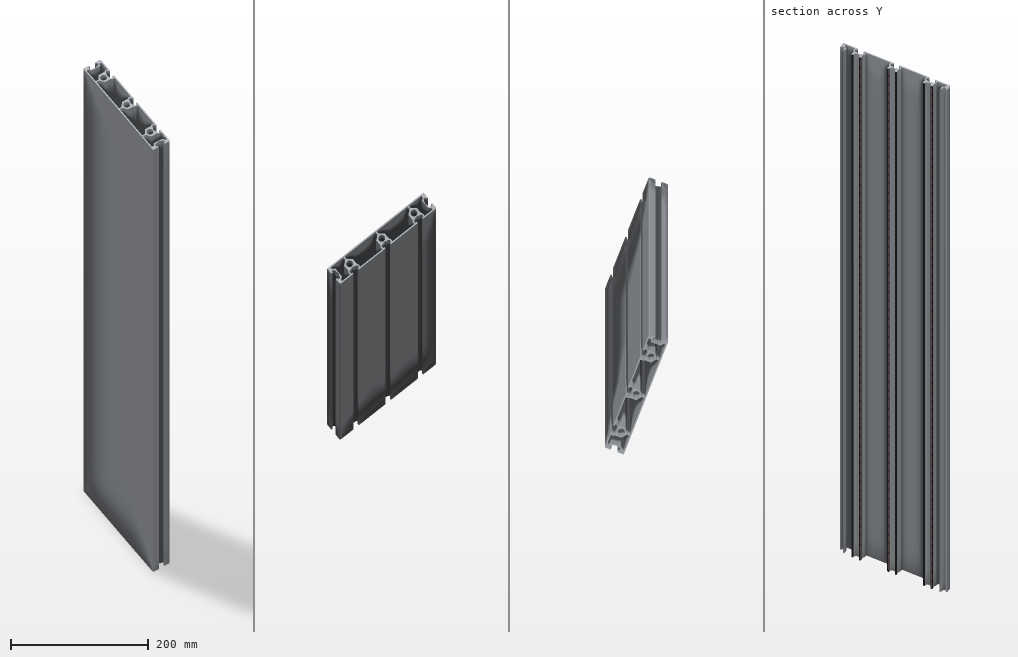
import cadquery as cq

length = 1000.0
width = 180.0
depth = 30.0
skin = 2.0
corner_block = 5.5
edge_radius = 2.0
half_width = width / 2
half_depth = depth / 2

slot_pitch = 60.0
slot_centers = [-slot_pitch, 0, slot_pitch]
end_sides = [-1, 1]

mouth_half = 5.0
lip = 2.5
undercut_half = 7.5
undercut_end = 6.0
slot_floor_half = 5.0
slot_depth = 7.5
floor_groove_half = 2.0
floor_groove_depth = 8.5

shell_half = 9.5
shell_shoulder = 6.0
shell_floor_half = 7.5
shell_depth = 9.5

rib_half = 8.0
rib_top = half_depth - shell_shoulder
rib_shoulder = -3.0
rib_neck = -8.5
stem_half = 1.0
stem_foot = skin - half_depth
port_radius = 5.0


def symmetric_prism(right_side):
    """Full-length prism whose outline is the given right side and its mirror image."""
    left_side = [(-x, y) for x, y in reversed(right_side)]
    return cq.Workplane("XY").polyline(right_side + left_side).close().extrude(length)


def on_back_face(shape, x):
    """Move a shape that opens at Y = 0 onto the +Y face."""
    return shape.translate((x, half_depth, 0))


def on_end_face(shape, side):
    """Turn a shape that opens at Y = 0 onto the -X (-1) or +X (+1) end face."""
    turned = shape.rotate((0, 0, 0), (0, 0, 1), -90 * side)
    return turned.translate((side * half_width, 0, 0))


slot = symmetric_prism([
    (mouth_half, 0),
    (mouth_half, -lip),
    (undercut_half, -lip),
    (undercut_half, -undercut_end),
    (slot_floor_half, -slot_depth),
    (floor_groove_half, -slot_depth),
    (floor_groove_half, -floor_groove_depth),
])
shell = symmetric_prism([
    (shell_half, 0),
    (shell_half, -shell_shoulder),
    (shell_floor_half, -shell_depth),
])
rib = symmetric_prism([
    (rib_half, rib_top),
    (rib_half, rib_shoulder),
    (stem_half, rib_neck),
    (stem_half, stem_foot),
])
port = cq.Workplane("XY").circle(port_radius).extrude(length)

outer = cq.Workplane("XY").rect(width, depth).extrude(length)
outer = outer.edges("|Z and >Y").fillet(edge_radius)
hollow = cq.Workplane("XY").rect(width - 2 * corner_block, depth - 2 * skin).extrude(length)
result = outer.cut(hollow)

for x in slot_centers:
    result = result.union(on_back_face(shell, x))
    result = result.union(rib.translate((x, 0, 0)))
for side in end_sides:
    result = result.union(on_end_face(shell, side))

for x in slot_centers:
    result = result.cut(on_back_face(slot, x))
    result = result.cut(port.translate((x, 0, 0)))
for side in end_sides:
    result = result.cut(on_end_face(slot, side))